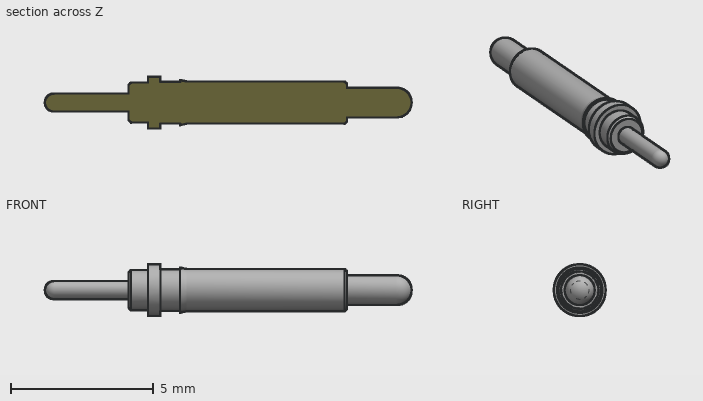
import cadquery as cq
import math

total_length = 12.88
nose_start = 2.94
flange_start = 3.62
flange_end = 4.06
barb_start = 4.75
barb_end = 4.98
barrel_end = 10.61

tail_radius = 0.32
nose_radius = 0.71
flange_radius = 1.83 / 2
neck_radius = 0.73
barrel_radius = 0.75
barb_radius = 0.8
plunger_radius = 0.53

edge_chamfer = 0.09

arc_middle = math.sqrt(0.5)
tail_dome_middle = (tail_radius * (1 - arc_middle), tail_radius * arc_middle)
plunger_dome_start = total_length - plunger_radius
plunger_dome_middle = (plunger_dome_start + plunger_radius * arc_middle, plunger_radius * arc_middle)

profile = (
    cq.Workplane("XY")
    .moveTo(0, 0)
    .threePointArc(tail_dome_middle, (tail_radius, tail_radius))
    .lineTo(nose_start, tail_radius)
    .lineTo(nose_start, nose_radius - edge_chamfer)
    .lineTo(nose_start + edge_chamfer, nose_radius)
    .lineTo(flange_start, nose_radius)
    .lineTo(flange_start, flange_radius)
    .lineTo(flange_end, flange_radius)
    .lineTo(flange_end, neck_radius)
    .lineTo(barb_start, neck_radius)
    .lineTo(barb_start, barb_radius)
    .lineTo(barb_end, barrel_radius)
    .lineTo(barrel_end - edge_chamfer, barrel_radius)
    .lineTo(barrel_end, barrel_radius - edge_chamfer)
    .lineTo(barrel_end, plunger_radius)
    .lineTo(plunger_dome_start, plunger_radius)
    .threePointArc(plunger_dome_middle, (total_length, 0))
    .close()
)

result = profile.revolve(360, (0, 0, 0), (1, 0, 0))